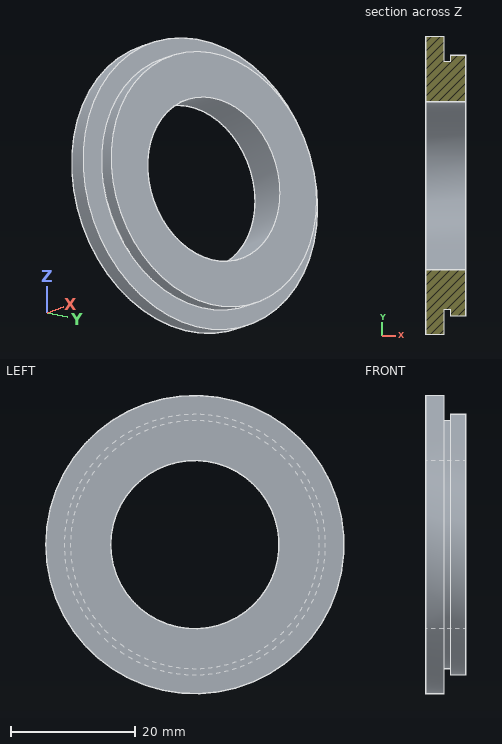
import cadquery as cq

flange_diameter = 48.0
flange_thickness = 3.0
spigot_diameter = 42.0
spigot_length = 3.5
groove_width = 1.0
groove_depth = 1.0
bore_diameter = 27.0

total_length = flange_thickness + spigot_length
groove_diameter = spigot_diameter - 2 * groove_depth
collar_start = flange_thickness + groove_width
collar_length = spigot_length - groove_width


def disc(start, length, diameter):
    """Solid disc on the X axis, running from x = start towards +X."""
    return cq.Workplane("YZ", origin=(start, 0, 0)).circle(diameter / 2).extrude(length)


flange = disc(0, flange_thickness, flange_diameter)
groove_floor = disc(flange_thickness, groove_width, groove_diameter)
collar = disc(collar_start, collar_length, spigot_diameter)

bore = disc(0, total_length, bore_diameter)

result = flange.union(groove_floor).union(collar).cut(bore)